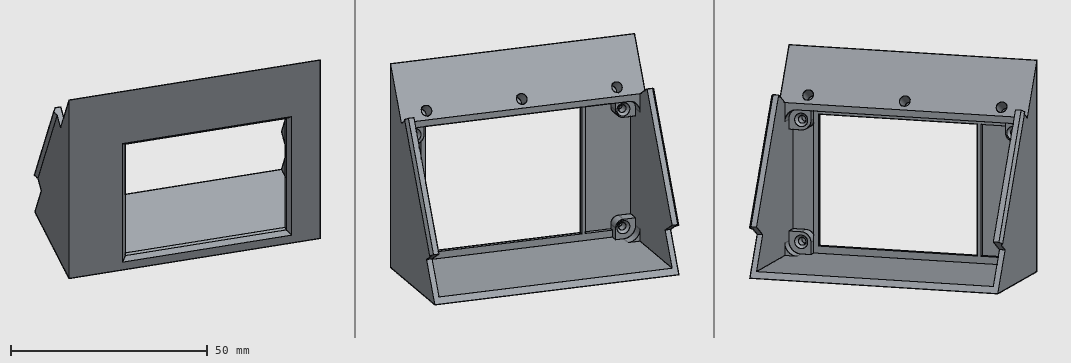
import cadquery as cq
import math

height = 54.71
width = 66.4
slant_angle = math.radians(60)
depth = height / math.tan(slant_angle)
run, rise = math.cos(slant_angle), math.sin(slant_angle)

wall = 1.5
floor = 1.66
tab_start = 11.9
tab_end = 47.6
tab_height = 5.75
ridge_slope = math.radians(32)
ridge_overhang = 0.685
ridge_half = ridge_overhang / math.tan(ridge_slope)

panel_front = tab_end * run
pocket_top = 39.5
pocket_radius = 3.2
skin = 1.1
pocket_floor = depth - skin
inner_width = width - 2 * wall
pocket_height = pocket_top - floor
pocket_mid_z = (floor + pocket_top) / 2

window_left, window_right = 24.55, -17.95
window_height = 34.1
rim_left, rim_right = 25.8, -26.3
rim_height = 1.2
rim_front = pocket_floor - rim_height
flare_angle = 45
flare_growth = skin * math.tan(math.radians(flare_angle))
relief_left = -18.95

post_front = 27
screw_y = 28.4
screw_spacing_z = 31.55
left_post_reach = screw_y - rim_left
right_post_reach = screw_y + rim_right
screw_diameter = 2.0
countersink_diameter = 3.5
countersink_angle = 45
countersink_depth = (countersink_diameter - screw_diameter) / 2 / math.tan(math.radians(countersink_angle))

lip_hole_diameter = 2.8
lip_hole_depth = 4.7
lip_hole_z = 43.3
lip_hole_spacing = 25.9


def slant_point(along, out=0.0):
    """XZ point at a distance up the slant and a distance out from its face."""
    return (along * run - out * rise, along * rise + out * run)


def block(x0, x1, y0, y1, z0, z1):
    """Box between two values on each axis."""
    size = (abs(x1 - x0), abs(y1 - y0), abs(z1 - z0))
    return cq.Workplane("XY").box(*size).translate(((x0 + x1) / 2, (y0 + y1) / 2, (z0 + z1) / 2))


def make_wedge():
    """Solid wedge with the tabs included in its side outline."""
    outline = [
        (0, 0),
        slant_point(tab_start),
        slant_point(tab_start, tab_height),
        slant_point(tab_end, tab_height),
        slant_point(tab_end),
        (depth, height),
        (depth, 0),
    ]
    return cq.Workplane("XZ").polyline(outline).close().extrude(width / 2, both=True)


def make_cavity():
    """Open space between the side walls, in front of the back panel."""
    return block(-depth, panel_front, -inner_width / 2, inner_width / 2, floor, height)


def make_pocket():
    """Round-cornered recess in the front of the back panel."""
    recess = block(panel_front, pocket_floor, -inner_width / 2, inner_width / 2, floor, pocket_top)
    return recess.edges("|X").fillet(pocket_radius)


def make_ridge(side):
    """Triangular snap ridge on the outer edge of the tab at side -1 or +1."""
    tip = slant_point(tab_start, tab_height)
    section_plane = cq.Plane(origin=(tip[0], 0, tip[1]), xDir=(0, 1, 0), normal=(run, 0, rise))
    half = width / 2
    section = [
        (side * (half - wall), 0),
        (side * half, 0),
        (side * (half + ridge_overhang), -ridge_half),
        (side * half, -2 * ridge_half),
        (side * (half - wall), -2 * ridge_half),
    ]
    return cq.Workplane(section_plane).polyline(section).close().extrude(tab_end - tab_start)


def make_rim():
    """Raised frame around the window, open towards the right-hand pocket end."""
    rim = block(rim_front, pocket_floor, rim_right, rim_left, floor, pocket_top)
    half_window = window_height / 2
    relief = block(
        rim_front, pocket_floor, rim_right, relief_left,
        pocket_mid_z - half_window, pocket_mid_z + half_window,
    )
    return rim.cut(relief)


def make_window():
    """Through window that flares outwards where it passes through the skin."""
    half_window = window_height / 2
    straight = block(
        rim_front, depth, window_right, window_left,
        pocket_mid_z - half_window, pocket_mid_z + half_window,
    )
    flare = (
        cq.Workplane("YZ", origin=(depth, (window_left + window_right) / 2, pocket_mid_z))
        .rect(window_left - window_right + 2 * flare_growth, window_height + 2 * flare_growth)
        .extrude(-skin, taper=flare_angle)
    )
    return straight.union(flare)


def make_post(side_y, side_z):
    """Corner post with its free corner rounded; side_y and side_z pick the corner."""
    reach = left_post_reach if side_y > 0 else right_post_reach
    inner_y = side_y * (screw_y - reach)
    inner_z = pocket_mid_z + side_z * (screw_spacing_z / 2 - reach)
    outer_y = side_y * (inner_width / 2 + wall / 2)
    outer_z = pocket_mid_z + side_z * (pocket_height / 2 + wall / 2)
    post = block(post_front, pocket_floor, inner_y, outer_y, inner_z, outer_z)
    free_edge = post.edges("|X").edges(
        cq.selectors.NearestToPointSelector(((post_front + pocket_floor) / 2, inner_y, inner_z))
    )
    return free_edge.fillet(reach)


def make_screw_holes():
    """Blind countersunk screw holes, as deep as the posts are tall."""
    centres = [
        (y, pocket_mid_z + side_z * screw_spacing_z / 2)
        for y in (-screw_y, screw_y)
        for side_z in (-1, 1)
    ]
    at_posts = cq.Workplane("YZ", origin=(post_front, 0, 0)).pushPoints(centres)
    holes = at_posts.circle(screw_diameter / 2).extrude(pocket_floor - post_front)
    cones = at_posts.circle(countersink_diameter / 2).extrude(countersink_depth, taper=countersink_angle)
    return holes.union(cones)


def make_lip_holes():
    """Row of blind holes drilled square into the slanted lip."""
    lip_plane = cq.Plane(
        origin=(lip_hole_z / math.tan(slant_angle), 0, lip_hole_z),
        xDir=(0, 1, 0),
        normal=(-rise, 0, run),
    )
    centres = [(step * lip_hole_spacing, 0) for step in (-1, 0, 1)]
    return (
        cq.Workplane(lip_plane)
        .pushPoints(centres)
        .circle(lip_hole_diameter / 2)
        .extrude(-lip_hole_depth)
    )


result = make_wedge().cut(make_cavity()).cut(make_pocket())
result = result.union(make_rim()).cut(make_window())
for y_side in (-1, 1):
    result = result.union(make_ridge(y_side))
    for z_side in (-1, 1):
        result = result.union(make_post(y_side, z_side))
result = result.cut(make_screw_holes()).cut(make_lip_holes())